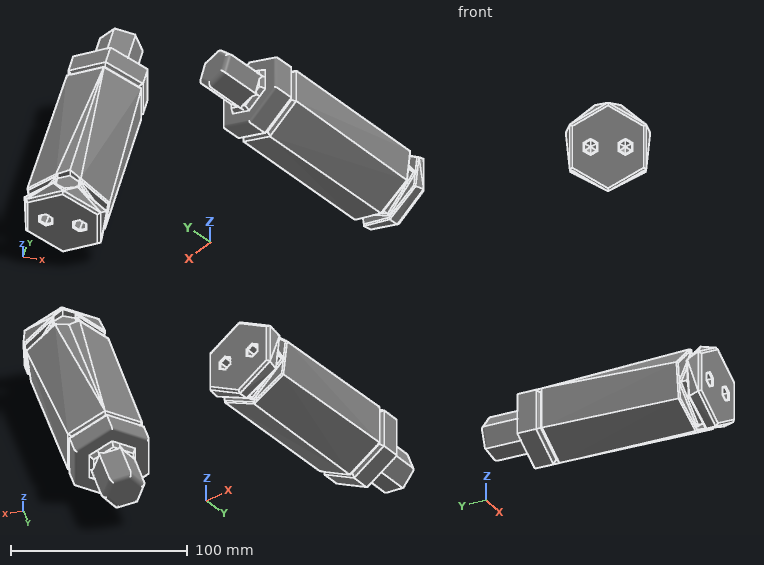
import cadquery as cq
import math


hex_apothem = 21.8
hex_radius = hex_apothem / math.cos(math.radians(30))

front_y = -72.5
cap_rear_y = -64.4
grip_front_y = -59.2
grip_rear_y = 28.3
collar_rear_y = 44.5
shank_tip_y = 72.5

neck_half_width = 1.9
neck_depth = 2.0
neck_bulge = 0.3
neck_root_y = grip_rear_y + neck_half_width
collar_front_y = neck_root_y + neck_half_width

collar_fillet = 1.5
boss_height = 2.9
boss_base_apothem = 13.5
boss_top_apothem = 11.6

shank_apothem = 11.0
shank_turn = -20.0
shank_tip_fillet = 2.9

rim_width = 48.0
rim_corners = [(7.2, 23.8), (rim_width / 2, 7.8), (21.3, -14.2)]
rim_chamfer = 0.9
rim_chamfer_angle = 40.0

groove_corners = [(7.1, 20.5), (21.3, -3.9)]
groove_bottom_z = -21.8
groove_flare = 0.9

cap_bevel = 1.5

window_y = (grip_front_y + cap_rear_y) / 2
window_apothem = 6.4
window_floor_z = 20.3

hole_spacing = 19.7
hole_apothem = 3.5
hole_chamfer = 0.6
hole_depth = 8.7
hole_point_length = 2.0

BEVEL_ANGLE = 45.0
AXIS_START = (0, 0, 0)
AXIS_END = (0, 1, 0)


def hexagon(apothem):
    """Corners of a regular hexagon with one corner straight up."""
    radius = apothem / math.cos(math.radians(30))
    angles = [math.radians(90 - 60 * i) for i in range(6)]
    return [(radius * math.cos(a), radius * math.sin(a)) for a in angles]


def mirrored(right_corners):
    """The same corners on the left, in the order that carries the outline on."""
    return [(-x, z) for x, z in reversed(right_corners)]


rim_outline = [(0, hex_radius)] + rim_corners + [(0, -hex_radius)] + mirrored(rim_corners)
groove_outline = groove_corners + [(0, groove_bottom_z)] + mirrored(groove_corners)


def prism(outline, y_start, y_end, taper=0.0):
    """Prism between two Y stations from an (x, z) outline; a positive taper narrows it."""
    direction = 1 if y_end > y_start else -1
    plane = cq.Plane(origin=(0, y_start, 0), xDir=(1, 0, 0), normal=(0, direction, 0))
    corners = [(x, -direction * z) for x, z in outline]
    return cq.Workplane(plane).polyline(corners).close().extrude(abs(y_end - y_start), taper=taper)


def hexagonal_turning(profile):
    """Hexagonal body whose six sides all follow one (apothem, y) profile."""
    slab = profile.close().extrude(2 * hex_radius, both=True)
    body = slab
    for i in range(1, 6):
        body = body.intersect(slab.rotate(AXIS_START, AXIS_END, 60 * i))
    return body


def profile_start(y):
    """Profile start, far enough across the axis to leave the other five sides whole."""
    return cq.Workplane("XY").moveTo(-2 * hex_radius, y)


def profile_end(profile, y):
    """Carry the profile back across the axis, level with its start."""
    return profile.lineTo(-2 * hex_radius, y)


def faceted_transition(hex_y, rim_y):
    """Flat triangles leading from the shared hexagon to the wider rim outline."""
    top, bottom = (0, hex_radius), (0, -hex_radius)
    upper, lower = hexagon(hex_apothem)[1:3]
    shoulder, side, hip = rim_corners

    def facets(sign):
        def at_hex(corner):
            return cq.Vector(sign * corner[0], hex_y, corner[1])

        def at_rim(corner):
            return cq.Vector(sign * corner[0], rim_y, corner[1])

        return [
            (at_hex(top), at_rim(top), at_rim(shoulder)),
            (at_hex(top), at_rim(shoulder), at_hex(upper)),
            (at_hex(upper), at_rim(shoulder), at_rim(side)),
            (at_hex(upper), at_rim(side), at_hex(lower)),
            (at_hex(lower), at_rim(side), at_rim(hip)),
            (at_hex(lower), at_rim(hip), at_hex(bottom)),
            (at_hex(bottom), at_rim(hip), at_rim(bottom)),
        ]

    ends = [
        [cq.Vector(x, hex_y, z) for x, z in hexagon(hex_apothem)],
        [cq.Vector(x, rim_y, z) for x, z in rim_outline],
    ]
    loops = facets(1) + facets(-1) + ends
    faces = [cq.Face.makeFromWires(cq.Wire.makePolygon(list(loop), close=True)) for loop in loops]
    return cq.Workplane(cq.Solid.makeSolid(cq.Shell.makeShell(faces)))


def make_grip():
    chamfer_y = grip_front_y + rim_chamfer
    grip = faceted_transition(grip_rear_y, chamfer_y)
    return grip.union(prism(rim_outline, chamfer_y, grip_front_y, rim_chamfer_angle))


def make_cap():
    chamfer_y = cap_rear_y - rim_chamfer
    bevel_y = front_y + cap_bevel
    cap = faceted_transition(bevel_y, chamfer_y)
    cap = cap.union(prism(rim_outline, chamfer_y, cap_rear_y, rim_chamfer_angle))
    return cap.union(prism(hexagon(hex_apothem), bevel_y, front_y, BEVEL_ANGLE))


def make_groove_floor():
    """Core between grip and cap, flared where it meets each of them."""
    flare_front_y = grip_front_y - groove_flare
    flare_rear_y = cap_rear_y + groove_flare
    floor = prism(groove_outline, grip_front_y, cap_rear_y)
    floor = floor.union(prism(groove_outline, flare_front_y, grip_front_y, -BEVEL_ANGLE))
    return floor.union(prism(groove_outline, flare_rear_y, cap_rear_y, -BEVEL_ANGLE))


def make_collar():
    """Neck groove of two hollow arcs, collar and boss in one hexagonal profile."""
    neck_apothem = hex_apothem - neck_depth
    neck_bulge_step = neck_bulge * math.sqrt(0.5)
    neck_mid_apothem = hex_apothem - neck_depth / 2 - neck_bulge_step
    neck_mid_offset = neck_half_width / 2 + neck_bulge_step
    collar_mid = collar_fillet * (1 - math.sqrt(0.5))
    boss_top_y = collar_rear_y + boss_height
    profile = (
        profile_start(grip_rear_y)
        .lineTo(hex_apothem, grip_rear_y)
        .threePointArc((neck_mid_apothem, neck_root_y - neck_mid_offset), (neck_apothem, neck_root_y))
        .threePointArc((neck_mid_apothem, neck_root_y + neck_mid_offset), (hex_apothem, collar_front_y))
        .lineTo(hex_apothem, collar_rear_y - collar_fillet)
        .threePointArc(
            (hex_apothem - collar_mid, collar_rear_y - collar_mid),
            (hex_apothem - collar_fillet, collar_rear_y),
        )
        .lineTo(boss_base_apothem, collar_rear_y)
        .lineTo(boss_top_apothem, boss_top_y)
    )
    return hexagonal_turning(profile_end(profile, boss_top_y))


def make_window():
    return (
        cq.Workplane("XY", origin=(0, window_y, window_floor_z))
        .polyline(hexagon(window_apothem))
        .close()
        .extrude(hex_radius)
    )


def make_hole(center_x):
    """Hexagonal hole with a chamfered mouth and a pyramid bottom."""
    bottom_y = front_y + hole_depth
    profile = (
        profile_start(front_y)
        .lineTo(hole_apothem + hole_chamfer, front_y)
        .lineTo(hole_apothem, front_y + hole_chamfer)
        .lineTo(hole_apothem, bottom_y)
        .lineTo(0, bottom_y + hole_point_length)
    )
    return hexagonal_turning(profile_end(profile, bottom_y + hole_point_length)).translate((center_x, 0, 0))


def make_shank():
    fillet_mid = shank_tip_fillet * (1 - math.sqrt(0.5))
    profile = (
        profile_start(collar_rear_y)
        .lineTo(shank_apothem, collar_rear_y)
        .lineTo(shank_apothem, shank_tip_y - shank_tip_fillet)
        .threePointArc(
            (shank_apothem - fillet_mid, shank_tip_y - fillet_mid),
            (shank_apothem - shank_tip_fillet, shank_tip_y),
        )
    )
    shank = hexagonal_turning(profile_end(profile, shank_tip_y))
    return shank.rotate(AXIS_START, AXIS_END, shank_turn)


def make_handle():
    """Grip, groove floor, cap and collar as one body, with its window and holes."""
    handle = make_grip().union(make_groove_floor()).union(make_cap()).union(make_collar())
    handle = handle.cut(make_window())
    for side in (-1, 1):
        handle = handle.cut(make_hole(side * hole_spacing / 2))
    return handle


shank = make_shank()
handle = make_handle().cut(shank)

result = cq.Compound.makeCompound([handle.val(), shank.val()])